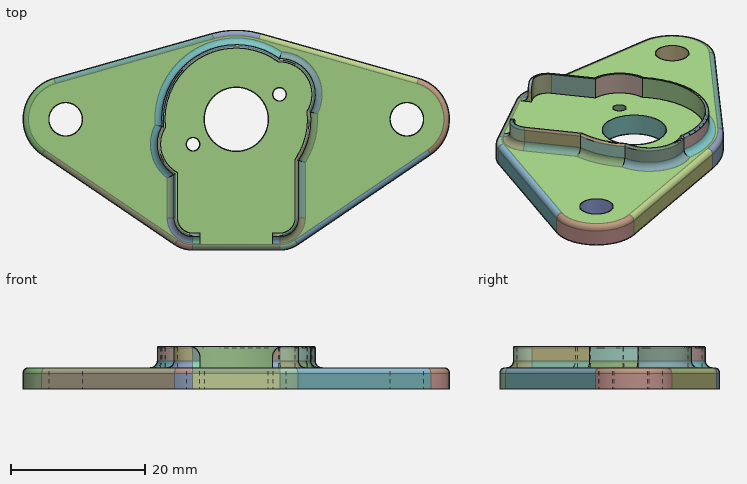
import cadquery as cq
import math

plate_thickness = 3.2
plate_edge_round = 0.8
ear_spacing = 50.8
ear_radius = 6.35
crown_radius = 13.25
foot_corner_radius = 4.8
foot_edge_y = -19.5

ear_hole_diameter = 4.95
center_hole_diameter = 9.5
pin_hole_diameter = 1.95
pin_circle_radius = 7.4
pin_angle = 30.0

total_height = 6.35
wall_thickness = 0.5
wall_foot_fillet = 1.0
wall_top_round = 0.25
ring_radius = 11.1
lobe_radius = 5.3
neck_half_width = 9.25
neck_corner_radius = 2.8

gap_half_width = 5.4
gap_top_round = 1.6

ear_x = ear_spacing / 2
corner_y = foot_edge_y + foot_corner_radius
corner_x = neck_half_width - neck_corner_radius
neck_edge_y = corner_y - neck_corner_radius
wall_height = total_height - plate_thickness
pin_x = pin_circle_radius * math.cos(math.radians(pin_angle))
pin_y = pin_circle_radius * math.sin(math.radians(pin_angle))
pin_points = [(pin_x, pin_y), (-pin_x, -pin_y)]


def point_on(center, radius, angle):
    return (center[0] + radius * math.cos(angle), center[1] + radius * math.sin(angle))


def tangent_normal(start, start_radius, end, end_radius):
    """Angle of the outward normal of the tangent lying right of the path start -> end."""
    dx = end[0] - start[0]
    dy = end[1] - start[1]
    lean = math.asin((start_radius - end_radius) / math.hypot(dx, dy))
    return math.atan2(dy, dx) - math.pi / 2 + lean


def mirrored(point):
    return (-point[0], point[1])


def make_plate():
    ear = (ear_x, 0)
    corner = (corner_x, corner_y)
    crown = (0, 0)
    lower = tangent_normal(corner, foot_corner_radius, ear, ear_radius)
    upper = tangent_normal(ear, ear_radius, crown, crown_radius)
    corner_start = (corner_x, foot_edge_y)
    corner_mid = point_on(corner, foot_corner_radius, (lower - math.pi / 2) / 2)
    corner_end = point_on(corner, foot_corner_radius, lower)
    ear_start = point_on(ear, ear_radius, lower)
    ear_tip = (ear_x + ear_radius, 0)
    ear_end = point_on(ear, ear_radius, upper)
    crown_start = point_on(crown, crown_radius, upper)
    outline = (
        cq.Workplane("XY")
        .moveTo(*corner_start)
        .threePointArc(corner_mid, corner_end)
        .lineTo(*ear_start)
        .threePointArc(ear_tip, ear_end)
        .lineTo(*crown_start)
        .threePointArc((0, crown_radius), mirrored(crown_start))
        .lineTo(*mirrored(ear_end))
        .threePointArc(mirrored(ear_tip), mirrored(ear_start))
        .lineTo(*mirrored(corner_end))
        .threePointArc(mirrored(corner_mid), mirrored(corner_start))
        .close()
    )
    return outline.extrude(plate_thickness).faces(">Z").edges().fillet(plate_edge_round)


def make_disc(center, radius, seam_angle):
    """Disc as tall as the wall, with the seam of its side turned to the given angle."""
    disc = cq.Workplane("XY").circle(radius).extrude(wall_height)
    disc = disc.rotate((0, 0, 0), (0, 0, 1), seam_angle)
    return disc.translate((center[0], center[1], plate_thickness))


def make_pad(inset):
    """Solid block with the recess outline, drawn in from the outside of the wall."""
    base = cq.Workplane("XY").workplane(offset=plate_thickness)
    neck_width = 2 * (neck_half_width - inset)
    neck_foot = neck_edge_y + inset
    neck = (
        base.center(0, neck_foot / 2)
        .rect(neck_width, -neck_foot)
        .extrude(wall_height)
        .edges("|Z and <Y")
        .fillet(neck_corner_radius - inset)
    )
    pad = neck.union(make_disc((0, 0), ring_radius - inset, -90))
    pad = pad.union(make_disc(pin_points[0], lobe_radius - inset, 180))
    return pad.union(make_disc(pin_points[1], lobe_radius - inset, 0))


def make_gap():
    """Opening whose sides flare out in an arc at the top of the wall."""
    flare_x = gap_half_width + gap_top_round
    flare_z = total_height - gap_top_round
    arc_offset = gap_top_round * (1 - math.sqrt(0.5))
    arc_mid = (gap_half_width + arc_offset, total_height - arc_offset)
    return (
        cq.Workplane("XZ", origin=(0, corner_y, 0))
        .moveTo(-gap_half_width, plate_thickness)
        .lineTo(gap_half_width, plate_thickness)
        .lineTo(gap_half_width, flare_z)
        .threePointArc(arc_mid, (flare_x, total_height))
        .lineTo(-flare_x, total_height)
        .threePointArc(mirrored(arc_mid), (-gap_half_width, flare_z))
        .close()
        .extrude(foot_corner_radius)
    )


def drill(body, points, diameter):
    holes = cq.Workplane("XY").pushPoints(points).circle(diameter / 2).extrude(total_height)
    return body.cut(holes)


body = make_plate().union(make_pad(0))
wall_foot = cq.selectors.BoxSelector(
    (-ear_x / 2, neck_edge_y - wall_thickness, plate_thickness - wall_top_round),
    (ear_x / 2, ring_radius + wall_thickness, plate_thickness + wall_top_round),
)
body = body.edges(wall_foot).fillet(wall_foot_fillet)

body = body.faces(">Z").edges().fillet(wall_top_round)
body = body.cut(make_pad(wall_thickness))
body = body.cut(make_gap())

body = drill(body, [(-ear_x, 0), (ear_x, 0)], ear_hole_diameter)
body = drill(body, [(0, 0)], center_hole_diameter)
result = drill(body, pin_points, pin_hole_diameter)